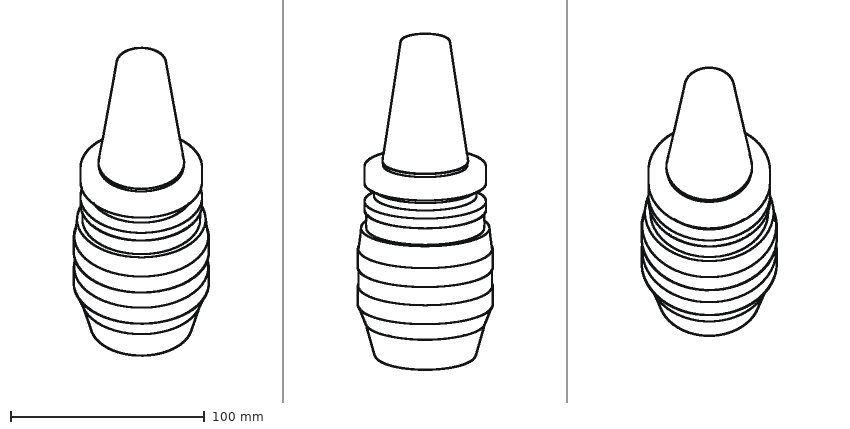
import cadquery as cq
import math


gauge_dia = 44.45
gauge_bevel_width = 0.4
taper_length = 65.4
taper_ratio = 7 / 24
taper_tip_dia = gauge_dia - taper_ratio * taper_length
taper_tip_fillet = 1.5
relief_dia = 43.7

flange_dia = 63.0
flange_top_z = -2.0
flange_bottom_z = -27.0
flange_fillet = 1.0
groove_dia = 53.0
groove_center_z = -16.6
groove_floor_width = 4.0
groove_wall_angle = 30.0

collar_dia = flange_dia - 2 * flange_fillet

sleeve_top_z = -35.9
sleeve_top_dia = 66.5
waist_dia = 69.1
band_dia = 70.0
band_count = 2
band_top_z = -47.3
band_pitch = 20.0
band_width = 10.2
band_fillet = (band_dia - waist_dia) / 2
lower_cone_top_z = band_top_z - (band_count - 1) * band_pitch - band_width
sleeve_bottom_z = -86.9
sleeve_bottom_dia = 62.0

gap_dia = 56.0
nose_top_z = -87.9
nose_top_dia = 61.4
nose_bottom_z = -105.0
nose_bottom_dia = 52.1
nose_top_fillet = 1.0
nose_bottom_fillet = 1.8


def frustum(top_dia, top_z, bottom_dia, bottom_z):
    """Cone or cylinder on the Z axis between two heights."""
    outline = [(0, top_z), (top_dia / 2, top_z), (bottom_dia / 2, bottom_z), (0, bottom_z)]
    return cq.Workplane("XZ").polyline(outline).close().revolve(360, (0, 0), (0, 1))


def disc(dia, top_z, bottom_z):
    """Plain cylinder on the Z axis between two heights."""
    return frustum(dia, top_z, dia, bottom_z)


def rounded_disc(dia, top_z, bottom_z, radius):
    """Cylinder with both rims rounded."""
    return disc(dia, top_z, bottom_z).faces("|Z").edges().fillet(radius)


def taper():
    cone = frustum(taper_tip_dia, taper_length, gauge_dia, 0)
    cone = cone.faces(">Z").edges().fillet(taper_tip_fillet)
    bevel = frustum(gauge_dia, 0, relief_dia, -gauge_bevel_width)
    relief = disc(relief_dia, -gauge_bevel_width, flange_top_z)
    return cone.union(bevel).union(relief)


def flange():
    wall_height = (flange_dia - groove_dia) / 2 * math.tan(math.radians(groove_wall_angle))
    floor_top_z = groove_center_z + groove_floor_width / 2
    floor_bottom_z = groove_center_z - groove_floor_width / 2
    groove_top_z = floor_top_z + wall_height
    groove_bottom_z = floor_bottom_z - wall_height

    body = rounded_disc(flange_dia, flange_top_z, flange_bottom_z, flange_fillet)
    upper_wall = frustum(flange_dia, groove_top_z, groove_dia, floor_top_z)
    floor = disc(groove_dia, floor_top_z, floor_bottom_z)
    lower_wall = frustum(groove_dia, floor_bottom_z, flange_dia, groove_bottom_z)
    kept = upper_wall.union(floor).union(lower_wall)
    groove = disc(flange_dia, groove_top_z, groove_bottom_z).cut(kept)
    return body.cut(groove)


def sleeve():
    body = frustum(sleeve_top_dia, sleeve_top_z, waist_dia, band_top_z)
    body = body.union(disc(waist_dia, band_top_z, lower_cone_top_z))
    body = body.union(frustum(waist_dia, lower_cone_top_z, sleeve_bottom_dia, sleeve_bottom_z))
    for index in range(band_count):
        top_z = band_top_z - index * band_pitch
        band = rounded_disc(band_dia, top_z, top_z - band_width, band_fillet)
        body = body.union(band)
    return body


def nose():
    cone = frustum(nose_top_dia, nose_top_z, nose_bottom_dia, nose_bottom_z)
    cone = cone.faces(">Z").edges().fillet(nose_top_fillet)
    return cone.faces("<Z").edges().fillet(nose_bottom_fillet)


result = (
    taper()
    .union(flange())
    .union(disc(collar_dia, flange_bottom_z, sleeve_top_z))
    .union(sleeve())
    .union(disc(gap_dia, sleeve_bottom_z, nose_top_z))
    .union(nose())
)